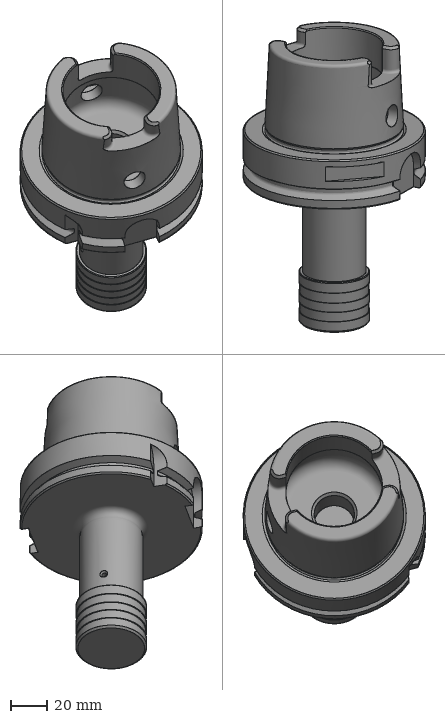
import cadquery as cq
import math


total_length = 162.0
shank_height = 50.0
flange_diameter = 100.0
flange_thickness = 28.8
flange_edge = 0.8

flange_radius = flange_diameter / 2
flange_bottom = -flange_thickness
nose_bottom = shank_height - total_length

shank_base_radius = 38.0
shank_base_height = 2.5
taper_slope = 0.05
shank_rim_round = 2.0
shank_top_radius = shank_base_radius - taper_slope * (shank_height - shank_base_height)

relief_inner_radius = 37.3
relief_outer_radius = 39.5
relief_height = 1.3
relief_depth = 0.8

groove_radius = 45.8
groove_top = -16.7
groove_bottom = -23.5
groove_upper_flank = 1.8
groove_lower_flank = 2.0
groove_fillet = 1.3

neck_radius = 17.0
neck_fillet = 3.9
neck_relief_length = 0.8
body_radius = 17.5
shoulder_radius = 17.3
shoulder_step = 1.3
collar_radius = 19.5
collar_top = -82.6
collar_edge = 1.1
collar_top_edge = 0.5
collar_recess = 0.5
recess_bands = ((-88.8, -94.6), (-100.0, -105.5))

bore_radius = 26.5
bore_rim_chamfer = 0.6
bore_lip_depth = 19.6
undercut_radius = 31.5
undercut_slope = math.radians(60)
bore_floor = 3.0
bore_floor_fillet = 6.5
pilot_radius = 11.0
pilot_chamfer = 1.5
pilot_depth = 16.2

slot_half_width = 10.0
slot_corner_radius = 4.9
slot_corner_x = 27.2
slot_inner_x = 19.5
slot_floor_fillet = 1.8
slot_edge_chamfer = 1.5
slot_depths = {-1: 15.0, 1: 9.9}

cross_hole_radius = 6.2
cross_hole_height = 14.9

keyway_floor = 44.0
keyway_half_widths = {-1: 11.0, 1: 10.0}
keyway_top = -4.7
notch_floor = 31.6
notch_radius = 10.0
notch_wall_y = -31.3
notch_center_height = -14.7
flat_angle = 135.0
flat_distance = 47.1
flat_top = -3.9
flat_height = 8.5

screw_height = -73.4
screw_mouth_radius = 2.3
screw_radius = 1.3
screw_depth = 4.9


def make_body():
    """Revolve the outer profile of shank, flange, neck and collar."""
    neck_end = flange_bottom - neck_fillet
    shoulder_top = neck_end - neck_relief_length
    outline = (
        cq.Workplane("XZ")
        .moveTo(0, shank_height)
        .lineTo(shank_top_radius, shank_height)
        .lineTo(shank_base_radius, shank_base_height)
        .lineTo(relief_inner_radius, relief_height)
        .lineTo(relief_inner_radius, 0)
        .radiusArc((relief_inner_radius + relief_depth, -relief_depth), -relief_depth)
        .lineTo(relief_outer_radius, 0)
        .lineTo(flange_radius - flange_edge, 0)
        .lineTo(flange_radius, -flange_edge)
        .lineTo(flange_radius, groove_top)
        .lineTo(groove_radius, groove_top - groove_upper_flank)
        .lineTo(groove_radius, groove_bottom + groove_lower_flank)
        .lineTo(flange_radius, groove_bottom)
        .lineTo(flange_radius, flange_bottom + flange_edge)
        .lineTo(flange_radius - flange_edge, flange_bottom)
        .lineTo(neck_radius + neck_fillet, flange_bottom)
        .radiusArc((neck_radius, neck_end), -neck_fillet)
        .lineTo(neck_radius, shoulder_top)
        .lineTo(shoulder_radius, shoulder_top - shoulder_step)
        .lineTo(body_radius, shoulder_top - 2 * shoulder_step)
        .lineTo(body_radius, collar_top)
        .lineTo(collar_radius - collar_top_edge, collar_top)
        .lineTo(collar_radius, collar_top - collar_top_edge)
    )
    for band_top, band_bottom in recess_bands:
        outline = (
            outline.lineTo(collar_radius, band_top)
            .lineTo(collar_radius - collar_recess, band_top)
            .lineTo(collar_radius - collar_recess, band_bottom)
            .lineTo(collar_radius, band_bottom)
        )
    outline = (
        outline.lineTo(collar_radius, nose_bottom + collar_edge)
        .lineTo(collar_radius - collar_edge, nose_bottom)
        .lineTo(0, nose_bottom)
        .close()
    )
    body = outline.revolve(360, (0, 0, 0), (0, 1, 0))
    body = body.faces(">Z").edges().fillet(shank_rim_round)
    groove_corners = body.edges("%CIRCLE").filter(
        lambda edge: math.isclose(edge.radius(), groove_radius)
    )
    lower_corner = groove_corners.sort(lambda edge: edge.Center().z)[0]
    return lower_corner.fillet(groove_fillet)


def make_bore():
    """Stepped clamping bore: rim chamfer, lip, conical undercut, filleted floor and pilot hole."""
    lip_end = shank_height - bore_lip_depth
    undercut_start = lip_end - (undercut_radius - bore_radius) / math.tan(undercut_slope)
    fillet_start = bore_floor + bore_floor_fillet
    return (
        cq.Workplane("XZ")
        .moveTo(0, shank_height)
        .lineTo(bore_radius + bore_rim_chamfer, shank_height)
        .lineTo(bore_radius, shank_height - bore_rim_chamfer)
        .lineTo(bore_radius, lip_end)
        .lineTo(undercut_radius, undercut_start)
        .lineTo(undercut_radius, fillet_start)
        .radiusArc((undercut_radius - bore_floor_fillet, bore_floor), bore_floor_fillet)
        .lineTo(pilot_radius + pilot_chamfer, bore_floor)
        .lineTo(pilot_radius, bore_floor - pilot_chamfer)
        .lineTo(pilot_radius, bore_floor - pilot_depth)
        .lineTo(0, bore_floor - pilot_depth)
        .close()
        .revolve(360, (0, 0, 0), (0, 1, 0))
    )


def slot_outline(height, side, offset=0.0):
    """Plan of one driving slot, flaring round the corners of the shank segments."""
    wall = slot_half_width + offset
    corner = slot_corner_radius - offset
    flare_x = slot_corner_x + corner
    flare_y = wall + corner
    outer = flange_radius
    return (
        cq.Workplane("XY", origin=(0, 0, height))
        .moveTo(side * slot_inner_x, -wall)
        .lineTo(side * slot_corner_x, -wall)
        .radiusArc((side * flare_x, -flare_y), side * corner)
        .lineTo(side * flare_x, -outer)
        .lineTo(side * outer, -outer)
        .lineTo(side * outer, outer)
        .lineTo(side * flare_x, outer)
        .lineTo(side * flare_x, flare_y)
        .radiusArc((side * slot_corner_x, wall), side * corner)
        .lineTo(side * slot_inner_x, wall)
        .close()
    )


def make_slot(side, depth):
    """Driving slot with a filleted floor and a chamfered upper edge."""
    slot = slot_outline(shank_height - depth, side).extrude(depth)
    slot = slot.faces("<Z").edges().fillet(slot_floor_fillet)
    bevel = (
        slot_outline(shank_height, side, slot_edge_chamfer)
        .extrude(-slot_edge_chamfer, taper=45)
    )
    return slot.union(bevel)


def rim_cut(side, floor, half_width, top_center, y=0.0):
    """Round-topped slot milled along X into the flange rim and open at its underside."""
    length = flange_radius - floor
    start = cq.Workplane("YZ", origin=(side * floor, y, top_center))
    dome = start.circle(half_width).extrude(side * length)
    drop = top_center - flange_bottom
    channel = start.center(0, -drop / 2).rect(2 * half_width, drop).extrude(side * length)
    return dome.union(channel)


def make_flat():
    """Flat-bottomed window on the flange rim."""
    depth = flange_radius - flat_distance
    return (
        cq.Workplane("XY")
        .box(depth, flange_diameter, flat_height, centered=(False, True, False))
        .translate((flat_distance, 0, flat_top - flat_height))
        .rotate((0, 0, 0), (0, 0, 1), flat_angle)
    )


def make_screw_hole():
    """Countersunk blind hole on the -Y side of the nose."""
    countersink = screw_mouth_radius - screw_radius
    return (
        cq.Workplane("XY")
        .moveTo(0, -body_radius)
        .lineTo(screw_mouth_radius, -body_radius)
        .lineTo(screw_radius, -body_radius + countersink)
        .lineTo(screw_radius, -body_radius + screw_depth)
        .lineTo(0, -body_radius + screw_depth)
        .close()
        .revolve(360, (0, 0, 0), (0, 1, 0))
        .translate((0, 0, screw_height))
    )


result = make_body().cut(make_bore())

for side, depth in slot_depths.items():
    result = result.cut(make_slot(side, depth))

cross_hole = (
    cq.Workplane("YZ", origin=(0, 0, cross_hole_height))
    .circle(cross_hole_radius)
    .extrude(flange_radius, both=True)
)
result = result.cut(cross_hole)

for side, half_width in keyway_half_widths.items():
    result = result.cut(rim_cut(side, keyway_floor, half_width, keyway_top - half_width))

notch_y = notch_wall_y - notch_radius
result = result.cut(rim_cut(1, notch_floor, notch_radius, notch_center_height, notch_y))
result = result.cut(make_flat())
result = result.cut(make_screw_hole())